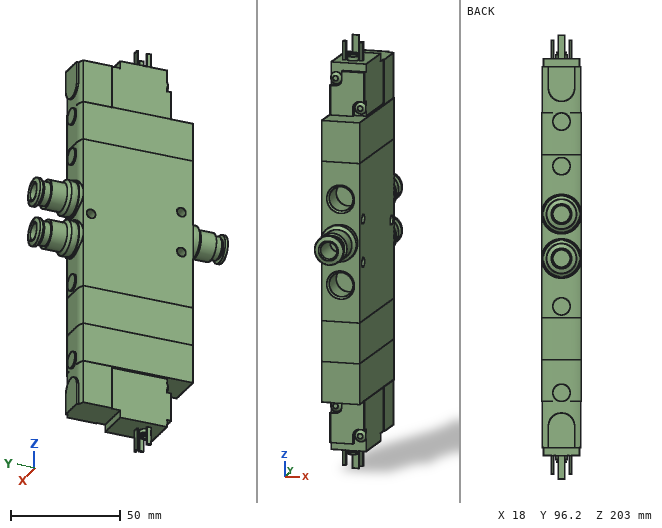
import cadquery as cq
WIDTH = 18.0
HALF_WIDTH = WIDTH / 2
FRONT_Y = -28.6
PAD_Y = 28.6
PAD_HEIGHT = 0.8
REAR_Y = PAD_Y - PAD_HEIGHT
ROUND_X = 4.7
ROUND_Y = 1.2
ROUND_START_Y = REAR_Y - ROUND_Y

STACK_TOP = 66.0
ADAPTER_HEIGHT = 19.0
BODY_TOP = STACK_TOP - ADAPTER_HEIGHT
BODY_BOTTOM = -STACK_TOP + 2 * ADAPTER_HEIGHT
BODY_CENTER = (BODY_TOP + BODY_BOTTOM) / 2

FRONT_PORT_SPACING = 20.0
FRONT_PORT_DIAMETER = 11.4
FRONT_PORT_MOUTH = 13.2
FRONT_PORT_DEPTH = 12.2
REAR_PORT_SPACING = 20.3
CROSS_HOLE_DIAMETER = 4.5
CROSS_HOLE_Y = 22.7
BUTTON_DIAMETER = 8.0
BODY_BUTTON_INSET = 5.3
ADAPTER_BUTTON_INSET = BUTTON_DIAMETER / 2

PILOT_TOP = 87.0
PILOT_WIDTH = 17.7
PILOT_PAD_WIDTH = 12.0
PAD_BOTTOM = 71.3
COVER_REAR_Y = 12.0
COVER_FRONT_Y = -15.8
COVER_WIDTH = 16.6
COVER_GAP = 0.5
COVER_TOP = 90.7
CROWN_REAR_Y = 7.7
PANEL_FRONT_Y = -18.0
PANEL_EDGE_CHAMFER = 0.5

SCREW_X = 5.9
SCREW_HIGH_Z = 83.5
SCREW_LOW_Z = 70.0
SCREW_DIAMETER = 5.7
SCREW_TIP_DIAMETER = 2.5
SCREW_HEIGHT = 1.2
NOTCH_RADIUS = 3.2

CONTACT_Y = -8.5
SIDE_PIN_X = 4.0
SIDE_PIN_SIZE = (1.2, 2.0)
SIDE_PIN_TOP = 99.3
BLADE_Y = -4.3
BLADE_SIZE = (3.0, 0.6)
BLADE_TOP = 101.5
STUD_BASE_DIAMETER = 5.3
STUD_NECK_DIAMETER = 3.9
STUD_RIM_DIAMETER = 4.5
STUD_HOLE_DIAMETER = 2.0
STUD_BASE_HEIGHT = 1.8
STUD_NECK_TOP = 2.8
STUD_HEIGHT = 3.0

COLLAR_DIAMETER = 17.0
COLLAR_SEAT_DIAMETER = 16.5
BARREL_DIAMETER = 13.8
NECK_DIAMETER = 11.4
GROOVE_DIAMETER = 9.3
FLANGE_DIAMETER = 13.5
FLANGE_FACE_DIAMETER = 9.3
BORE_DIAMETER = 8.0
COLLAR_START = 1.6
COLLAR_END = 3.7
BARREL_START = 5.0
BARREL_END = 12.8
NECK_END = 16.0
FLANGE_START = 17.3
FLANGE_RIM_END = 18.7
FITTING_LENGTH = 19.5
BORE_DEPTH = 16.2
BORE_CHAMFER = (FLANGE_FACE_DIAMETER - BORE_DIAMETER) / 2


def box_between(x0, x1, y0, y1, z0, z1):
    """Axis-aligned box given by its limits."""
    return cq.Workplane("XY").box(x1 - x0, y1 - y0, z1 - z0, centered=False).translate((x0, y0, z0))


def cylinder_y(diameter, x, z, y0, y1):
    """Cylinder along Y from y0 to y1."""
    return cq.Workplane(cq.Solid.makeCylinder(diameter / 2, y1 - y0, cq.Vector(x, y0, z), cq.Vector(0, 1, 0)))


def rear_pad(diameter, z):
    """Round pad standing proud of the rear face and filling the rounded edges."""
    return cylinder_y(diameter, 0, z, ROUND_START_Y, PAD_Y)


def stack_section(z0, z1, width=WIDTH, front_y=FRONT_Y):
    """Block with the common outline: square front, rounded rear edges."""
    half_width = width / 2
    outline = (
        cq.Workplane("XY", origin=(0, 0, z0))
        .moveTo(0, REAR_Y)
        .lineTo(half_width - ROUND_X, REAR_Y)
        .tangentArcPoint((half_width, ROUND_START_Y), relative=False)
        .lineTo(half_width, front_y)
        .lineTo(0, front_y)
        .mirrorY()
    )
    return outline.extrude(z1 - z0)


def front_port(z):
    """Blind port bore in the front face with a chamfered mouth."""
    radius = FRONT_PORT_DIAMETER / 2
    mouth_radius = FRONT_PORT_MOUTH / 2
    chamfer = mouth_radius - radius
    bore = cylinder_y(FRONT_PORT_DIAMETER, 0, z, FRONT_Y, FRONT_Y + FRONT_PORT_DEPTH)
    mouth = cq.Solid.makeCone(mouth_radius, radius, chamfer, cq.Vector(0, FRONT_Y, z), cq.Vector(0, 1, 0))
    return bore.union(cq.Workplane(mouth))


def cross_hole(y, z):
    """Mounting hole through the body along X."""
    axis_start = cq.Vector(-HALF_WIDTH, y, z)
    return cq.Workplane(cq.Solid.makeCylinder(CROSS_HOLE_DIAMETER / 2, WIDTH, axis_start, cq.Vector(1, 0, 0)))


def rear_port_heights():
    return [BODY_CENTER + side * REAR_PORT_SPACING / 2 for side in (1, -1)]


def make_valve_body():
    body = stack_section(BODY_BOTTOM, BODY_TOP)
    for z in rear_port_heights():
        body = body.union(rear_pad(WIDTH, z))
    for z in (BODY_TOP - BODY_BUTTON_INSET, BODY_BOTTOM + BODY_BUTTON_INSET):
        body = body.union(rear_pad(BUTTON_DIAMETER, z))
    for side in (1, -1):
        body = body.cut(front_port(BODY_CENTER + side * FRONT_PORT_SPACING))
    body = body.cut(cross_hole(CROSS_HOLE_Y, BODY_CENTER))
    for z in rear_port_heights():
        body = body.cut(cross_hole(-CROSS_HOLE_Y, z))
    return body


def make_spacer():
    return stack_section(BODY_BOTTOM - ADAPTER_HEIGHT, BODY_BOTTOM)


def pilot_block():
    """Rear part of the pilot head, with a raised pad ending in a half circle."""
    block = stack_section(STACK_TOP, PILOT_TOP, PILOT_WIDTH, COVER_REAR_Y)
    half_pad = PILOT_PAD_WIDTH / 2
    arc_center_z = PAD_BOTTOM + half_pad
    pad = rear_pad(PILOT_PAD_WIDTH, arc_center_z)
    pad_top = box_between(-half_pad, half_pad, ROUND_START_Y, PAD_Y, arc_center_z, PILOT_TOP)
    return block.union(pad).union(pad_top)


def screw_notch(side, z, outer_z):
    """Corner recess in the front panel: round inside, open to the side and to outer_z."""
    x = side * SCREW_X
    edge_x = side * HALF_WIDTH
    inner_x = x - side * NOTCH_RADIUS
    inner_z = z + NOTCH_RADIUS if outer_z < z else z - NOTCH_RADIUS
    depth = (PANEL_FRONT_Y, COVER_FRONT_Y)
    notch = cylinder_y(2 * NOTCH_RADIUS, x, z, *depth)
    to_side = box_between(*sorted((x, edge_x)), *depth, *sorted((inner_z, outer_z)))
    to_end = box_between(*sorted((inner_x, x)), *depth, *sorted((z, outer_z)))
    return notch.union(to_side).union(to_end)


def cover_screw(x, z):
    """Conical screw head, limited to the cover's side face."""
    base_center = cq.Vector(x, COVER_FRONT_Y, z)
    base_radius = SCREW_DIAMETER / 2
    tip_radius = SCREW_TIP_DIAMETER / 2
    cone = cq.Solid.makeCone(base_radius, tip_radius, SCREW_HEIGHT, base_center, cq.Vector(0, -1, 0))
    half_cover = COVER_WIDTH / 2
    limits = box_between(-half_cover, half_cover, PANEL_FRONT_Y, COVER_FRONT_Y, STACK_TOP, PILOT_TOP)
    return cq.Workplane(cone).intersect(limits)


def pilot_cover():
    """Solenoid cover: main box, raised crown, front panel and its two screws."""
    half_cover = COVER_WIDTH / 2
    bottom = STACK_TOP + COVER_GAP
    cover = box_between(-half_cover, half_cover, COVER_FRONT_Y, COVER_REAR_Y, bottom, PILOT_TOP)
    crown = box_between(-half_cover, half_cover, COVER_FRONT_Y, CROWN_REAR_Y, PILOT_TOP, COVER_TOP)
    panel = box_between(-half_cover, half_cover, PANEL_FRONT_Y, COVER_FRONT_Y, bottom, PILOT_TOP)
    panel = panel.faces("<Y").edges("|Z").chamfer(PANEL_EDGE_CHAMFER)
    panel = panel.cut(screw_notch(-1, SCREW_HIGH_Z, PILOT_TOP))
    panel = panel.cut(screw_notch(1, SCREW_LOW_Z, bottom))
    cover = cover.union(crown).union(panel)
    cover = cover.union(cover_screw(-SCREW_X, SCREW_HIGH_Z))
    return cover.union(cover_screw(SCREW_X, SCREW_LOW_Z))


def contact_pin(x, y, size, top):
    """Rectangular pin standing on the cover."""
    half_x = size[0] / 2
    half_y = size[1] / 2
    return box_between(x - half_x, x + half_x, y - half_y, y + half_y, COVER_TOP, top)


def contact_stud():
    """Round stud with a necked rim and a central hole."""
    base = STUD_BASE_DIAMETER / 2
    neck = STUD_NECK_DIAMETER / 2
    rim = STUD_RIM_DIAMETER / 2
    hole = STUD_HOLE_DIAMETER / 2
    profile = [
        (hole, 0), (base, 0), (base, STUD_BASE_HEIGHT), (neck, STUD_BASE_HEIGHT),
        (neck, STUD_NECK_TOP), (rim, STUD_NECK_TOP), (rim, STUD_HEIGHT), (hole, STUD_HEIGHT),
    ]
    stud = cq.Workplane("XZ").polyline(profile).close().revolve(360, (0, 0, 0), (0, 1, 0))
    return stud.translate((0, CONTACT_Y, COVER_TOP))


def make_end_unit():
    """Adapter with its pilot head, for the upper end of the stack."""
    unit = stack_section(BODY_TOP, STACK_TOP)
    unit = unit.union(rear_pad(BUTTON_DIAMETER, STACK_TOP - ADAPTER_BUTTON_INSET))
    unit = unit.union(pilot_block()).union(pilot_cover())
    for side in (1, -1):
        unit = unit.union(contact_pin(side * SIDE_PIN_X, CONTACT_Y, SIDE_PIN_SIZE, SIDE_PIN_TOP))
    unit = unit.union(contact_pin(0, BLADE_Y, BLADE_SIZE, BLADE_TOP))
    return unit.union(contact_stud())


def make_fitting():
    """Push-in fitting seated at Y = 0 and pointing along +Y, with a blind tube bore."""
    bore_floor = FITTING_LENGTH - BORE_DEPTH
    diameters_and_distances = [
        (0, 0),
        (COLLAR_SEAT_DIAMETER, 0),
        (COLLAR_DIAMETER, COLLAR_START),
        (COLLAR_DIAMETER, COLLAR_END),
        (BARREL_DIAMETER, BARREL_START),
        (BARREL_DIAMETER, BARREL_END),
        (NECK_DIAMETER, BARREL_END),
        (NECK_DIAMETER, NECK_END),
        (GROOVE_DIAMETER, NECK_END),
        (GROOVE_DIAMETER, FLANGE_START),
        (FLANGE_DIAMETER, FLANGE_START),
        (FLANGE_DIAMETER, FLANGE_RIM_END),
        (FLANGE_FACE_DIAMETER, FITTING_LENGTH),
        (BORE_DIAMETER, FITTING_LENGTH - BORE_CHAMFER),
        (BORE_DIAMETER, bore_floor),
        (0, bore_floor),
    ]
    profile = [(diameter / 2, distance) for diameter, distance in diameters_and_distances]
    return cq.Workplane("XY").polyline(profile).close().revolve(360, (0, 0, 0), (0, 1, 0))


valve_body = make_valve_body()
spacer = make_spacer()

end_units = []
for turn in (0, 180):
    end_units.append(make_end_unit().rotate((0, 0, 0), (0, 1, 0), turn))

fittings = [make_fitting().mirror("XZ").translate((0, FRONT_Y, BODY_CENTER))]
for port_z in rear_port_heights():
    fittings.append(make_fitting().translate((0, PAD_Y, port_z)))

result = cq.Compound.makeCompound([
    valve_body.val(),
    spacer.val(),
    *[unit.val() for unit in end_units],
    *[fitting.val() for fitting in fittings],
])